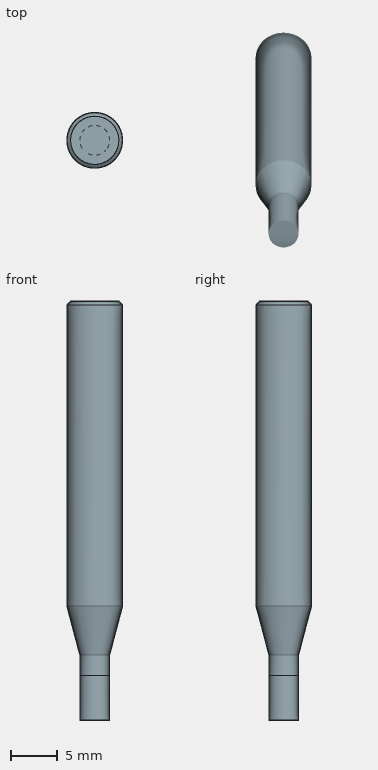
import cadquery as cq

TOTAL_LENGTH = 45.0
SHANK_DIAMETER = 6.0
NECK_DIAMETER = 3.2
TIP_LENGTH = 4.8
NECK_TOP = 7.0
CONE_TOP = 12.3
CHAMFER = 0.4

SHANK_RADIUS = SHANK_DIAMETER / 2
NECK_RADIUS = NECK_DIAMETER / 2


def make_cutting_tip():
    """Plain cylindrical cutting end, standing on the base plane."""
    return cq.Workplane("XY").circle(NECK_RADIUS).extrude(TIP_LENGTH)


def make_shank():
    """Neck, cone and chamfered shank, turned about the Z axis."""
    half_profile = (
        cq.Workplane("XZ")
        .moveTo(0, TIP_LENGTH)
        .lineTo(NECK_RADIUS, TIP_LENGTH)
        .lineTo(NECK_RADIUS, NECK_TOP)
        .lineTo(SHANK_RADIUS, CONE_TOP)
        .lineTo(SHANK_RADIUS, TOTAL_LENGTH)
        .lineTo(0, TOTAL_LENGTH)
        .close()
    )
    turned = half_profile.revolve(360, (0, 0, 0), (0, 1, 0))
    return turned.faces(">Z").edges().chamfer(CHAMFER)


cutting_tip = make_cutting_tip()
shank = make_shank()

result = cq.Compound.makeCompound([cutting_tip.val(), shank.val()])